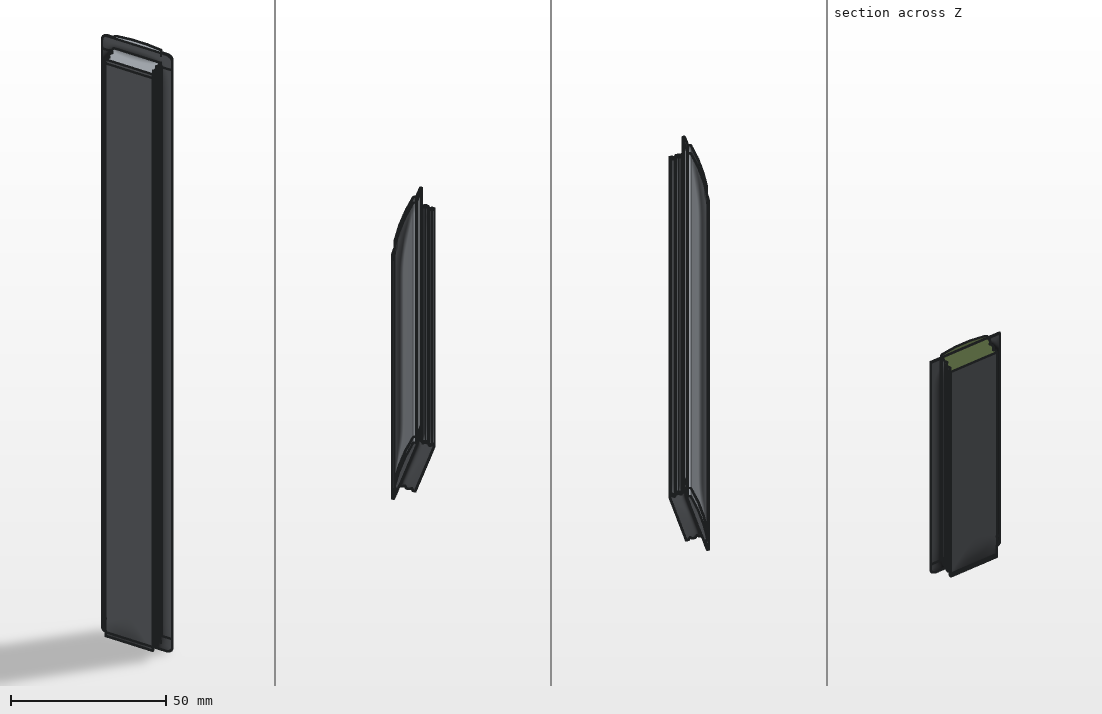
import cadquery as cq

flange_width = 24.8
total_length = 262.1
total_depth = 8.04

front_y = -total_depth / 2
lens_crown_y = total_depth / 2
cap_crown_y = 3.9
crown_edge_y = 3.2
flange_back_y = 2.4
flange_front_y = 1.95

crown_width = 16.8
crown_edge_radius = 0.7
body_width = 16.6
relief_width = 0.5
relief_depth = 0.3
notch_depth = 0.6
notch_width = 1.4
notch_centers_y = (-0.15, -2.5)

profile_length = 250.0
plug_length = 1.7
cap_corner_radius = 2.0

profile_end_z = profile_length / 2
cap_end_z = total_length / 2


def block(width, y_low, y_high, z_low, z_high):
    """Box centred on X, given by its Y and Z limits."""
    box = cq.Workplane("XY").box(
        width, y_high - y_low, z_high - z_low, centered=(True, False, False)
    )
    return box.translate((0, y_low, z_low))


def notched_body(z_low, z_high):
    """Rectangular bar with two V notches along each side face."""
    half = body_width / 2
    bar = block(body_width, front_y, flange_front_y, z_low, z_high)
    for side in (-1, 1):
        for center_y in notch_centers_y:
            notch = (
                cq.Workplane("XY", origin=(0, 0, z_low))
                .moveTo(side * half, center_y - notch_width / 2)
                .lineTo(side * (half - notch_depth), center_y)
                .lineTo(side * half, center_y + notch_width / 2)
                .close()
                .extrude(z_high - z_low)
            )
            bar = bar.cut(notch)
    return bar


def domed_strip(z_low, z_high, crown_y):
    """Strip on the back of the flange with an arched top and rounded long edges."""
    half = crown_width / 2
    strip = (
        cq.Workplane("XY", origin=(0, 0, z_low))
        .moveTo(-half, flange_back_y)
        .lineTo(-half, crown_edge_y)
        .threePointArc((0, crown_y), (half, crown_edge_y))
        .lineTo(half, flange_back_y)
        .close()
        .extrude(z_high - z_low)
    )
    return strip.edges("|Z and (not <Y)").fillet(crown_edge_radius)


def make_profile():
    """Flanged bar with a shallow relief in the flange on each side of the body."""
    z_limits = (-profile_end_z, profile_end_z)
    flange = block(flange_width, flange_front_y, flange_back_y, *z_limits)
    relief = block(
        body_width + 2 * relief_width, flange_front_y, flange_front_y + relief_depth, *z_limits
    )
    flange_core = block(body_width, flange_front_y, flange_back_y, *z_limits)
    return flange.cut(relief).union(flange_core).union(notched_body(*z_limits))


def make_lens():
    """Domed cover along the full length of the profile."""
    return domed_strip(-profile_end_z, profile_end_z, lens_crown_y)


def make_cap():
    """Upper end cap: round-cornered flange, short dome and a plug against the profile end."""
    flange = block(flange_width, flange_front_y, flange_back_y, profile_end_z, cap_end_z)
    flange = flange.edges("|Y and >Z").fillet(cap_corner_radius)
    dome = domed_strip(profile_end_z, cap_end_z, cap_crown_y)
    plug = notched_body(profile_end_z, profile_end_z + plug_length)
    return flange.union(dome).union(plug)


profile = make_profile()
lens = make_lens()
upper_cap = make_cap()
lower_cap = upper_cap.mirror("XY")

bodies = [profile, lens, upper_cap, lower_cap]
result = cq.Compound.makeCompound([body.solids().val() for body in bodies])